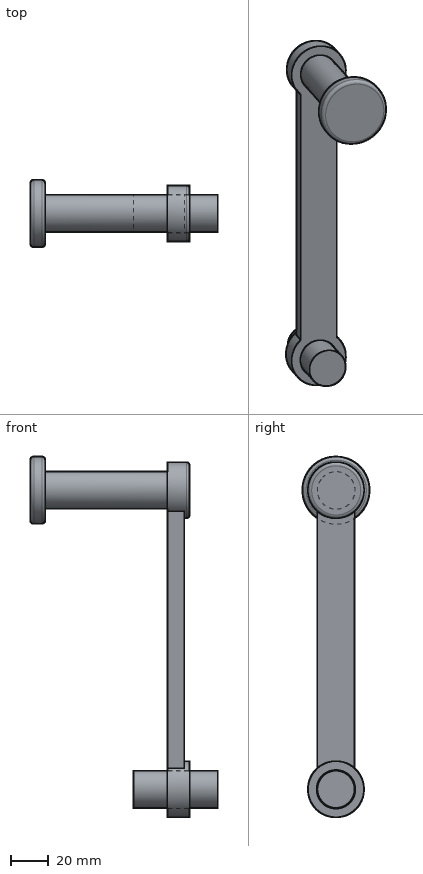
import cadquery as cq

boss_diameter = 30.0
knob_diameter = 36.0
overall_height = 192.2
shaft_axis_z = boss_diameter / 2
grip_axis_z = overall_height - knob_diameter / 2

knob_thickness = 8.0
knob_edge_radius = 2.0
grip_diameter = 20.0

crank_face_x = 73.0
boss_thickness = 12.0
boss_edge_radius = 2.0
arm_thickness = 9.0
arm_width = 20.0

shaft_diameter = 20.0
shaft_clearance = 0.4
shaft_end_x = 100.0
shaft_length = 45.0


def cylinder_along_x(diameter, start_x, length, axis_z):
    """Solid cylinder on an axis parallel to X, in the plane Y = 0."""
    return (
        cq.Workplane("YZ", origin=(start_x, 0, axis_z))
        .circle(diameter / 2)
        .extrude(length)
    )


def make_shaft():
    """Plain round shaft, standing out on both sides of the lower boss."""
    return cylinder_along_x(
        shaft_diameter, shaft_end_x - shaft_length, shaft_length, shaft_axis_z
    )


def make_knob():
    """End disc of the grip, rounded on both rims."""
    disc = cylinder_along_x(knob_diameter, 0, knob_thickness, grip_axis_z)
    return disc.edges().fillet(knob_edge_radius)


def make_upper_boss():
    """Boss carrying the grip, rounded on its far rim."""
    boss = cylinder_along_x(boss_diameter, crank_face_x, boss_thickness, grip_axis_z)
    return boss.faces(">X").edges().fillet(boss_edge_radius)


def make_crank():
    """Arm, both bosses, grip and knob in one piece, with a through hole for the shaft."""
    grip = cylinder_along_x(
        grip_diameter, knob_thickness, crank_face_x - knob_thickness, grip_axis_z
    )
    lower_boss = cylinder_along_x(boss_diameter, crank_face_x, boss_thickness, shaft_axis_z)
    arm = cq.Workplane("XY", origin=(crank_face_x, 0, shaft_axis_z)).box(
        arm_thickness, arm_width, grip_axis_z - shaft_axis_z, centered=(False, True, False)
    )
    shaft_hole = cylinder_along_x(
        shaft_diameter + shaft_clearance, crank_face_x, boss_thickness, shaft_axis_z
    )
    crank = arm.union(lower_boss).union(make_upper_boss()).union(grip).union(make_knob())
    return crank.cut(shaft_hole)


crank = make_crank()
shaft = make_shaft()
result = cq.Compound.makeCompound([crank.solids().val(), shaft.solids().val()])